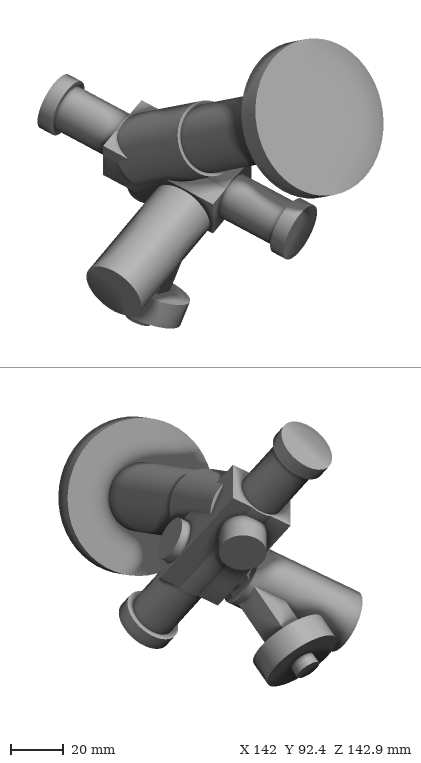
import cadquery as cq
import math

block_length = 50.0
block_width = 26.1
block_height = 18.3
core_diameter = 20.1
pipe_diameter = 18.4
pipe_length = 25.0
cap_diameter = 23.0
cap_thickness = 6.0

branch_x = 11.0
branch_angle = 45.0
collar_diameter = 29.0
collar_length = 40.0
tube_diameter = 26.4
flange_diameter = 60.0
flange_thickness = 9.0
branch_length = 111.4

drain_x = 13.0
drain_diameter = 18.0
drain_depth = 20.1

valve_x = 37.9
boss_diameter = 17.0
boss_reach = 16.7
neck_diameter = 16.0
handle_diameter = 25.0
handle_start = 15.9
handle_end = 62.4

lever_start_y = -15.5
lever_angle = 50.0
arm_size = 11.0
arm_length = 32.9
disc_diameter = 31.3
disc_thickness = 10.0
pin_diameter = 10.0
pin_length = 4.4


def cylinder(diameter, length, start, direction):
    """Solid cylinder from a start point along a direction."""
    solid = cq.Solid.makeCylinder(diameter / 2, length, cq.Vector(*start), cq.Vector(*direction))
    return cq.Workplane(solid)


def make_run():
    """Block with its left face at X = 0; the core bulges slightly above and below it."""
    run = cq.Workplane().box(block_length, block_width, block_height, centered=(False, True, True))
    run = run.union(cylinder(core_diameter, block_length, (0, 0, 0), (1, 0, 0)))
    for face_x, side in ((0, -1), (block_length, 1)):
        direction = (side, 0, 0)
        cap_x = face_x + side * pipe_length
        run = run.union(cylinder(pipe_diameter, pipe_length, (face_x, 0, 0), direction))
        run = run.union(cylinder(cap_diameter, cap_thickness, (cap_x, 0, 0), direction))
    return run


def make_branch():
    """Collar, tube and end flange on one inclined axis."""
    angle = math.radians(branch_angle)
    direction = (math.cos(angle), 0, math.sin(angle))
    start = (branch_x, 0, 0)
    flange_offset = branch_length - flange_thickness
    flange_start = (branch_x + flange_offset * direction[0], 0, flange_offset * direction[2])
    collar = cylinder(collar_diameter, collar_length, start, direction)
    tube = cylinder(tube_diameter, branch_length, start, direction)
    flange = cylinder(flange_diameter, flange_thickness, flange_start, direction)
    return collar.union(tube).union(flange)


def make_drain():
    """Short round stub rising into the block from below."""
    return cylinder(drain_diameter, drain_depth, (drain_x, 0, 0), (0, 0, -1))


def make_valve():
    """Rear boss, front neck and round handle."""
    center = (valve_x, 0, 0)
    handle_length = handle_end - handle_start
    boss = cylinder(boss_diameter, boss_reach, center, (0, 1, 0))
    neck = cylinder(neck_diameter, handle_start, center, (0, -1, 0))
    handle = cylinder(handle_diameter, handle_length, (valve_x, -handle_start, 0), (0, -1, 0))
    return boss.union(neck).union(handle)


def make_lever():
    """Square arm starting at the valve axis, ending in a disc and pin."""
    angle = math.radians(lever_angle)
    direction = (0, -math.cos(angle), -math.sin(angle))
    plane = cq.Plane(origin=(valve_x, lever_start_y, 0), xDir=(1, 0, 0), normal=direction)
    arm = cq.Workplane(plane).rect(arm_size, arm_size).extrude(arm_length)
    disc_base = cq.Workplane(plane).workplane(offset=arm_length)
    disc = disc_base.circle(disc_diameter / 2).extrude(disc_thickness)
    pin = disc_base.circle(pin_diameter / 2).extrude(disc_thickness + pin_length)
    return arm.union(disc).union(pin)


result = make_run()
for section in (make_branch(), make_drain(), make_valve(), make_lever()):
    result = result.union(section)